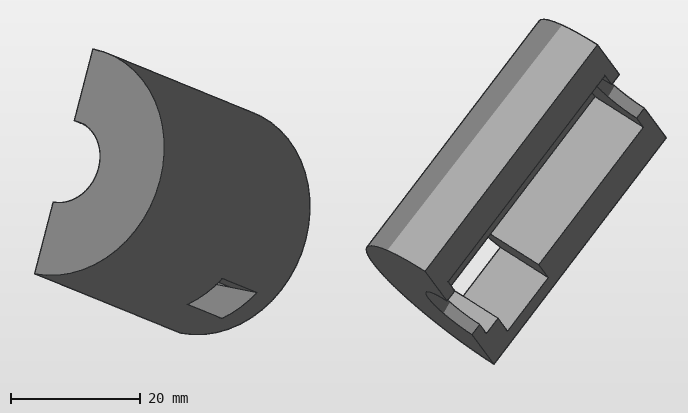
import cadquery as cq

outer_radius = 18.0
length = 44.5
tilt_angle = 26.28

end_wall = 2.0
pocket_length = length - 2 * end_wall
pocket_width = 20.0
pocket_depth = 10.0

opening_radius = 6.5

window_length = 10.5
window_height = 5.0
window_end_distance = 5.0


def make_half_cylinder():
    cylinder = cq.Workplane("XZ").circle(outer_radius).extrude(length / 2, both=True)
    kept_half = cq.Workplane("XY").box(
        outer_radius, length, 2 * outer_radius, centered=(False, True, True)
    )
    return cylinder.intersect(kept_half)


def make_pocket():
    return cq.Workplane("XY").box(
        pocket_depth, pocket_length, pocket_width, centered=(False, True, True)
    )


def make_end_opening(end_face_y):
    """Round cutter reaching from an end face at end_face_y through its wall (towards -Y)."""
    return (
        cq.Workplane("XZ", origin=(0, end_face_y, 0))
        .circle(opening_radius)
        .extrude(end_wall)
    )


def make_window():
    window_y = length / 2 - window_end_distance - window_length
    window_z = -pocket_width / 2 - window_height
    return (
        cq.Workplane("XY", origin=(0, window_y, window_z))
        .box(outer_radius, window_length, window_height, centered=False)
    )


housing = make_half_cylinder().cut(make_pocket()).cut(make_window())
for end_face_y in (length / 2, -length / 2 + end_wall):
    housing = housing.cut(make_end_opening(end_face_y))

result = housing.rotate((0, 0, 0), (1, 0, 0), -tilt_angle)